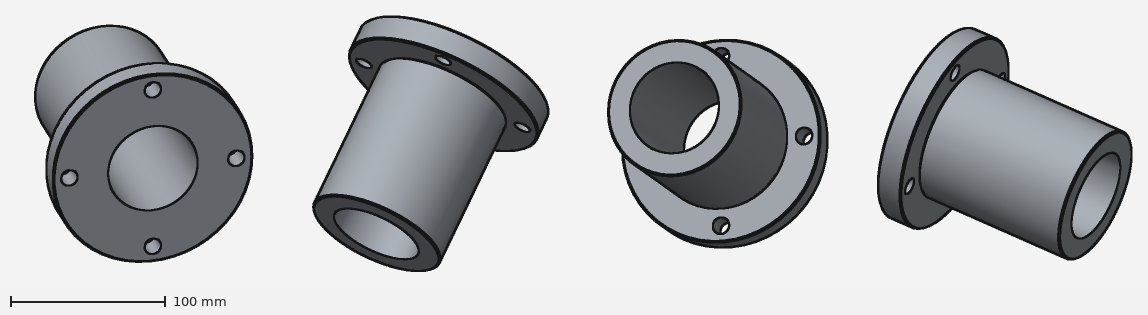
import cadquery as cq

total_length = 125.0
flange_diameter = 134.0
flange_thickness = 18.0
sleeve_diameter = 90.0
bore_diameter = 60.0
bolt_circle_diameter = 112.0
bolt_hole_diameter = 11.0
bolt_count = 4
edge_chamfer = 1.0

sleeve_length = total_length - flange_thickness


def disc(diameter, start_x, length):
    """Solid cylinder along +X starting at start_x."""
    return cq.Workplane("YZ", origin=(start_x, 0, 0)).circle(diameter / 2).extrude(length)


sleeve = disc(sleeve_diameter, 0, sleeve_length).edges("%CIRCLE").chamfer(edge_chamfer)

flange = disc(flange_diameter, sleeve_length, flange_thickness).edges("%CIRCLE").chamfer(edge_chamfer)

bore = disc(bore_diameter, 0, total_length)

bolt_holes = (
    cq.Workplane("YZ", origin=(sleeve_length, 0, 0))
    .polarArray(bolt_circle_diameter / 2, 0, 360, bolt_count)
    .circle(bolt_hole_diameter / 2)
    .extrude(flange_thickness)
)

result = sleeve.union(flange).cut(bore).cut(bolt_holes)